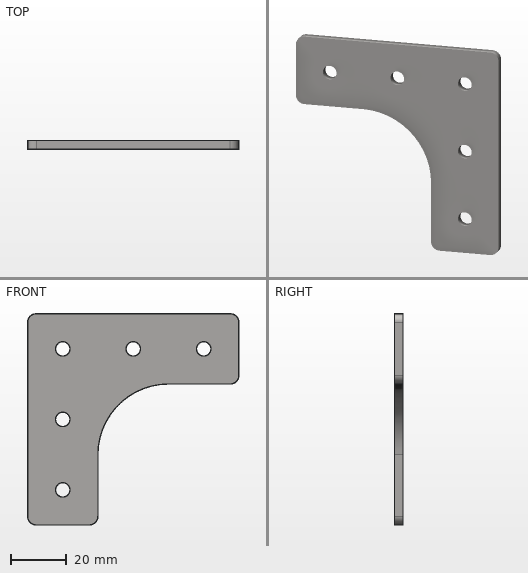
import cadquery as cq

pitch = 25.4
arm_length = 3 * pitch
arm_width = pitch
thickness = 3.175
corner_radius = 3.175
inner_radius = arm_width
hole_diameter = 5.1
edge_distance = arm_width / 2
holes_per_arm = 3


def plate_blank():
    """L outline with its outer corner at top left, one arm along X and one down Z."""
    arm_bottom = arm_length - arm_width
    outline = [
        (0, 0),
        (arm_width, 0),
        (arm_width, arm_bottom),
        (arm_length, arm_bottom),
        (arm_length, arm_length),
        (0, arm_length),
    ]
    blank = cq.Workplane("XZ").polyline(outline).close().extrude(-thickness)
    inner_edge = cq.selectors.NearestToPointSelector((arm_width, thickness / 2, arm_bottom))
    corner_edges = cq.selectors.ParallelDirSelector(cq.Vector(0, 1, 0))
    blank = blank.edges(corner_edges - inner_edge).fillet(corner_radius)
    return blank.edges(inner_edge).fillet(inner_radius)


def hole_centres():
    """Centres along both arms, sharing the one in the corner."""
    top_row = arm_length - edge_distance
    centres = [(edge_distance + i * pitch, top_row) for i in range(holes_per_arm)]
    centres += [(edge_distance, top_row - i * pitch) for i in range(1, holes_per_arm)]
    return centres


def holes():
    """Straight through holes as cutting cylinders."""
    return (
        cq.Workplane("XZ")
        .pushPoints(hole_centres())
        .circle(hole_diameter / 2)
        .extrude(-thickness)
    )


result = plate_blank().cut(holes())